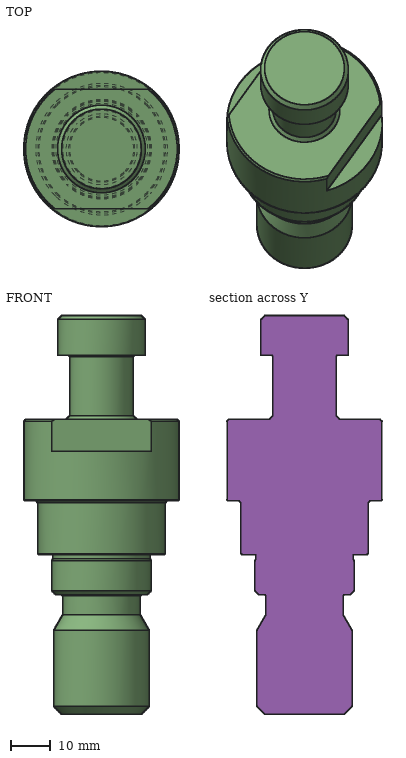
import cadquery as cq
import math

total_height = 99.9
head_bottom = 89.9
flange_top = 73.9
flange_bottom = 53.4
body_bottom = 40.0
collar_top = 38.5
collar_bottom = 30.0
tail_neck_bottom = 25.0

head_diameter = 22.0
head_neck_diameter = 16.0
flange_diameter = 39.0
body_diameter = 32.0
relief_diameter = 24.5
collar_diameter = 25.0
tail_neck_diameter = 19.5
tail_diameter = 24.0

head_chamfer = 1.0
neck_root_cone = 0.9
flange_top_chamfer = 0.5
small_chamfer = 0.3
body_top_cone = 0.5
relief_cone_height = 0.5
collar_chamfer = 1.0
tail_chamfer = 2.0
tail_cone_angle = 30.0

flat_spacing = 30.0
flat_height = 8.0

head_radius = head_diameter / 2
head_neck_radius = head_neck_diameter / 2
flange_radius = flange_diameter / 2
body_radius = body_diameter / 2
relief_radius = relief_diameter / 2
collar_radius = collar_diameter / 2
tail_neck_radius = tail_neck_diameter / 2
tail_radius = tail_diameter / 2
tail_cone_height = (tail_radius - tail_neck_radius) / math.tan(math.radians(tail_cone_angle))


def turned_body():
    """Revolve the stepped half profile (radius, height) about the Z axis."""
    tail = [
        (0, 0),
        (tail_radius - tail_chamfer, 0),
        (tail_radius, tail_chamfer),
        (tail_radius, tail_neck_bottom - tail_cone_height),
        (tail_neck_radius, tail_neck_bottom),
        (tail_neck_radius, collar_bottom - small_chamfer),
        (tail_neck_radius + small_chamfer, collar_bottom),
    ]
    collar = [
        (collar_radius - collar_chamfer, collar_bottom),
        (collar_radius, collar_bottom + collar_chamfer),
        (collar_radius, collar_top),
        (relief_radius, collar_top + relief_cone_height),
        (relief_radius, body_bottom),
    ]
    body = [
        (body_radius - small_chamfer, body_bottom),
        (body_radius, body_bottom + small_chamfer),
        (body_radius, flange_bottom - body_top_cone),
        (body_radius + body_top_cone, flange_bottom),
    ]
    flange = [
        (flange_radius - small_chamfer, flange_bottom),
        (flange_radius, flange_bottom + small_chamfer),
        (flange_radius, flange_top - flange_top_chamfer),
        (flange_radius - flange_top_chamfer, flange_top),
    ]
    head = [
        (head_neck_radius + neck_root_cone, flange_top),
        (head_neck_radius, flange_top + neck_root_cone),
        (head_neck_radius, head_bottom - small_chamfer),
        (head_neck_radius + small_chamfer, head_bottom),
        (head_radius, head_bottom),
        (head_radius, total_height - head_chamfer),
        (head_radius - head_chamfer, total_height),
        (0, total_height),
    ]
    profile = cq.Workplane("XZ").polyline(tail + collar + body + flange + head).close()
    return profile.revolve(360, (0, 0, 0), (0, 1, 0))


def flat_cutter(side):
    """Block that removes the flange outside one flat; side is -1 or +1 along Y."""
    block = cq.Workplane("XY").box(flange_diameter, flange_radius, flat_height)
    center_y = side * (flat_spacing / 2 + flange_radius / 2)
    return block.translate((0, center_y, flange_top - flat_height / 2))


result = turned_body()
for side in (-1, 1):
    result = result.cut(flat_cutter(side))